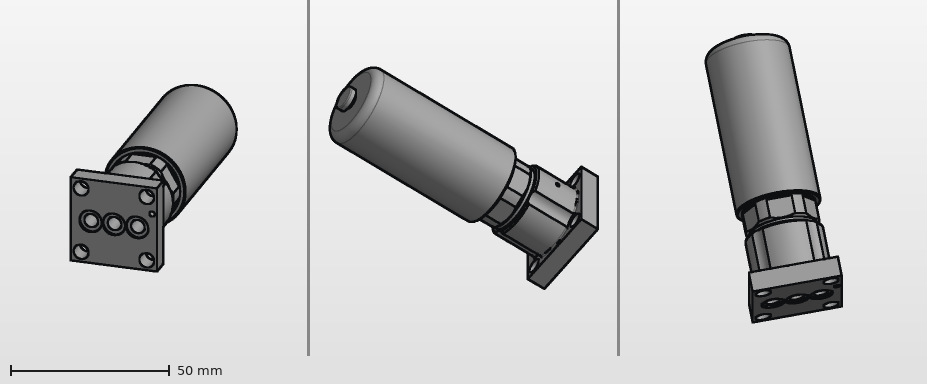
import cadquery as cq
import math

OVERALL_LENGTH = 88.8
FLANGE_SIZE = 28.6
FLANGE_THICKNESS = 6.5

BODY_END = 22.2
BODY_RADIUS = 12.5
BODY_CHAMFER = 0.6
ROOT_FILLET = 0.4

NECK_END = 23.6
NECK_RADIUS = 10.9

HEX_END = 30.5
HEX_ACROSS_FLATS = 22.2
HEX_CORNER_RADIUS = 11.8
COLLAR_END = 31.15

SLEEVE_END = 85.7
SLEEVE_RADIUS = 13.5
SLEEVE_CHAMFER = 0.35
SLEEVE_FILLET = 2.9

STEM_RADIUS = 2.5
BUTTON_RADIUS = 4.0
BUTTON_THICKNESS = 2.0
BUTTON_FILLET = 0.35

BOLT_SPACING = 21.75
BOLT_HOLE_DIAMETER = 4.9
FLUTE_RADIUS = 3.9

PORT_SPACING = 7.7
PORT_DIAMETER = 4.5
PORT_DEPTH = 8.9
SEAL_DIAMETER = 7.4
SEAL_DEPTH = 0.7

PIN_HOLE_DIAMETER = 1.8
PIN_HOLE_X = 12.7
PIN_HOLE_Z = 5.2

VENT_DIAMETER = 1.2
VENT_POSITION = 14.4
VENT_DEPTH = 1.8

PORT_FACE = -OVERALL_LENGTH / 2


def along_axis(distance):
    """Sketch plane at a distance behind the port face: extrudes to +Y, local x is +X, local y is -Z."""
    return cq.Workplane(
        cq.Plane(origin=(0, PORT_FACE + distance, 0), xDir=(1, 0, 0), normal=(0, 1, 0))
    )


def round_bar(start, end, radius):
    return along_axis(start).circle(radius).extrude(end - start)


def grid_points(spacing):
    half = spacing / 2
    return [(x, z) for x in (-half, half) for z in (-half, half)]


def make_flange():
    return along_axis(0).rect(FLANGE_SIZE, FLANGE_SIZE).extrude(FLANGE_THICKNESS)


def make_body():
    """Round body with a filleted root, a chamfered end and four grooves in line with the bolts."""
    root = PORT_FACE + FLANGE_THICKNESS
    end = PORT_FACE + BODY_END
    arc_offset = ROOT_FILLET * (1 - math.sqrt(0.5))
    body = (
        cq.Workplane("XY")
        .moveTo(0, root)
        .lineTo(BODY_RADIUS + ROOT_FILLET, root)
        .threePointArc(
            (BODY_RADIUS + arc_offset, root + arc_offset),
            (BODY_RADIUS, root + ROOT_FILLET),
        )
        .lineTo(BODY_RADIUS, end - BODY_CHAMFER)
        .lineTo(BODY_RADIUS - BODY_CHAMFER, end)
        .lineTo(0, end)
        .close()
        .revolve(360, (0, 0, 0), (0, 1, 0))
    )
    flutes = (
        along_axis(FLANGE_THICKNESS)
        .pushPoints(grid_points(BOLT_SPACING))
        .circle(FLUTE_RADIUS)
        .extrude(BODY_END - FLANGE_THICKNESS)
    )
    return body.cut(flutes)


def make_hex():
    """Hexagon with rounded corners, chamfered down to the neck, with flats facing +Z and -Z."""
    length = HEX_END - NECK_END
    across_corners = HEX_ACROSS_FLATS / math.cos(math.pi / 6)
    blank = round_bar(NECK_END, HEX_END, HEX_CORNER_RADIUS)
    blank = blank.faces("<Y").chamfer(HEX_CORNER_RADIUS - NECK_RADIUS)
    return blank.intersect(along_axis(NECK_END).polygon(6, across_corners).extrude(length))


def make_sleeve():
    sleeve = round_bar(COLLAR_END, SLEEVE_END, SLEEVE_RADIUS)
    sleeve = sleeve.faces("<Y").chamfer(SLEEVE_CHAMFER)
    return sleeve.faces(">Y").edges().fillet(SLEEVE_FILLET)


def make_button():
    """Stem and round button at the far end of the sleeve."""
    button_start = OVERALL_LENGTH - BUTTON_THICKNESS
    stem = round_bar(SLEEVE_END, button_start, STEM_RADIUS)
    button = round_bar(button_start, OVERALL_LENGTH, BUTTON_RADIUS)
    button = button.faces(">Y").edges().fillet(BUTTON_FILLET)
    return stem.union(button)


def make_ports():
    """Three blind round-bottomed ports in a row, each with a shallow seal seat."""
    radius = PORT_DIAMETER / 2
    drill = round_bar(0, PORT_DEPTH, radius)
    bottom = cq.Workplane("XY", origin=(0, PORT_FACE + PORT_DEPTH, 0)).sphere(radius)
    seat = round_bar(0, SEAL_DEPTH, SEAL_DIAMETER / 2)
    port = drill.union(bottom).union(seat)
    ports = port
    for x in (-PORT_SPACING, PORT_SPACING):
        ports = ports.union(port.translate((x, 0, 0)))
    return ports


def make_flange_holes():
    bolts = along_axis(0).pushPoints(grid_points(BOLT_SPACING)).circle(BOLT_HOLE_DIAMETER / 2)
    pin = along_axis(0).center(PIN_HOLE_X, -PIN_HOLE_Z).circle(PIN_HOLE_DIAMETER / 2)
    return bolts.extrude(FLANGE_THICKNESS).union(pin.extrude(FLANGE_THICKNESS))


def make_vent():
    """Small blind radial hole on the -X side of the body."""
    return (
        cq.Workplane("YZ", origin=(-BODY_RADIUS, PORT_FACE + VENT_POSITION, 0))
        .circle(VENT_DIAMETER / 2)
        .extrude(VENT_DEPTH)
    )


result = (
    make_flange()
    .union(make_body())
    .union(round_bar(BODY_END, NECK_END, NECK_RADIUS))
    .union(make_hex())
    .union(round_bar(HEX_END, COLLAR_END, HEX_CORNER_RADIUS))
    .union(make_sleeve())
    .union(make_button())
    .cut(make_flange_holes())
    .cut(make_ports())
    .cut(make_vent())
)